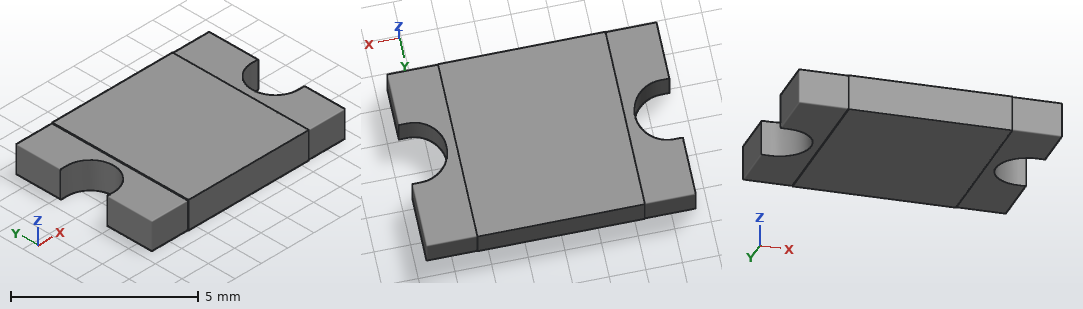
import cadquery as cq

LENGTH = 7.36
WIDTH = 5.12
THICKNESS = 1.0

TERMINAL_LENGTH = 1.395
TERMINAL_EDGE_RADIUS = 0.037

NOTCH_WIDTH = 1.75
NOTCH_DEPTH = 1.125
LEFT_NOTCH_Y = -0.005
RIGHT_NOTCH_Y = -0.17

LEFT = -1
RIGHT = 1

BODY_LENGTH = LENGTH - 2 * TERMINAL_LENGTH


def make_block(length, center_x):
    """Block of full width and thickness, resting on Z = 0."""
    block = cq.Workplane("XY").box(length, WIDTH, THICKNESS, centered=(True, True, False))
    return block.translate((center_x, 0, 0))


def make_notch(side, center_y):
    """Round-ended slot centred on the end face, so half of it reaches into the terminal."""
    return (
        cq.Workplane("XY")
        .center(side * LENGTH / 2, center_y)
        .slot2D(2 * NOTCH_DEPTH, NOTCH_WIDTH)
        .extrude(THICKNESS)
    )


def make_terminal(side, notch_y):
    """End block with all edges rounded, then notched with sharp edges."""
    center_x = side * (LENGTH - TERMINAL_LENGTH) / 2
    block = make_block(TERMINAL_LENGTH, center_x).edges().fillet(TERMINAL_EDGE_RADIUS)
    return block.cut(make_notch(side, notch_y))


body = make_block(BODY_LENGTH, 0)
left_terminal = make_terminal(LEFT, LEFT_NOTCH_Y)
right_terminal = make_terminal(RIGHT, RIGHT_NOTCH_Y)

result = body.union(left_terminal).union(right_terminal)